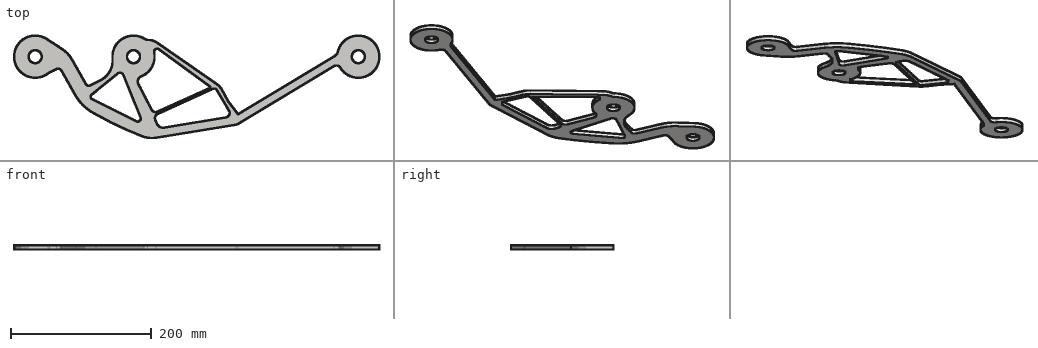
import cadquery as cq
import math

length = 520.0
thickness = 6.0
boss_diameter = 60.5
hole_diameter = 18.0
boss_radius = boss_diameter / 2
middle_boss = (140.0, 0.0)
right_boss = (length - boss_diameter, 0.0)
boss_centres = [(0.0, 0.0), middle_boss, right_boss]

shoulder = (47.5, 5.0)
valley = (74.5, -42.5)
crest = (168.0, 24.0)
elbow = (263.0, -42.0)
elbow_foot = (275.0, -64.0)
arm_valley = (288.5, -81.5)
arm_heel = (287.0, -96.5)
bottom_corner = (166.0, -116.5)
knee = (35.0, -15.5)

middle_boss_lower_left = (128.5, -15.5)
middle_boss_top = (147.0, crest[1])
right_boss_upper = (447.5, 14.0)
right_boss_lower = (447.5, 0.0)
left_boss_lower = (15.5, -25.0)

middle_boss_lower_blend = (119.0, -21.5)
middle_boss_top_blend = (158.5, 24.0)
right_boss_upper_blend = (431.5, 4.5)
right_boss_lower_blend = (430.5, -9.5)
left_boss_blend = (18.5, -23.5)

underside_end = (155.0, -114.5)
underside_middle = (128.5, -103.5)
underside_start = (86.5, -82.0)
belly_middle = (70.5, -72.0)
belly_end = (57.5, -56.0)


def round_corner(body, corner, radius):
    """Fillet the vertical edge nearest to the given plan position."""
    nearest = cq.selectors.NearestToPointSelector((corner[0], corner[1], thickness / 2))
    return body.edges("|Z").edges(nearest).fillet(radius)


def round_corners(body, corners):
    """Fillet several vertical edges, given as (position, radius) pairs."""
    for corner, radius in corners:
        body = round_corner(body, corner, radius)
    return body


def bosses(centres, diameter):
    return cq.Workplane("XY").pushPoints(centres).circle(diameter / 2).extrude(thickness)


def window(points):
    return cq.Workplane("XY").polyline(points).close().extrude(thickness)


def frame():
    tangent_angle = math.atan2(shoulder[1], shoulder[0])
    tangent_angle += math.acos(boss_radius / math.hypot(*shoulder))
    tangent_point = (boss_radius * math.cos(tangent_angle), boss_radius * math.sin(tangent_angle))
    return (
        cq.Workplane("XY")
        .moveTo(*tangent_point)
        .lineTo(*shoulder)
        .lineTo(*valley)
        .lineTo(*middle_boss_lower_left)
        .lineTo(*middle_boss_top)
        .lineTo(*crest)
        .lineTo(*elbow)
        .lineTo(*elbow_foot)
        .lineTo(*arm_valley)
        .lineTo(*right_boss_upper)
        .lineTo(*right_boss_lower)
        .lineTo(*arm_heel)
        .lineTo(*bottom_corner)
        .lineTo(*underside_end)
        .threePointArc(underside_middle, underside_start)
        .threePointArc(belly_middle, belly_end)
        .lineTo(*knee)
        .lineTo(*left_boss_lower)
        .lineTo(0, 0)
        .close()
        .extrude(thickness)
    )


def plate():
    body = frame().union(bosses(boss_centres, boss_diameter))
    return round_corners(body, [
        (shoulder, 44.0),
        (valley, 4.5),
        (crest, 21.0),
        (elbow, 26.0),
        (elbow_foot, 21.0),
        (bottom_corner, 36.5),
        (arm_heel, 8.0),
        (knee, 5.0),
        (middle_boss_lower_blend, 31.0),
        (middle_boss_top_blend, 8.0),
        (right_boss_upper_blend, 8.5),
        (right_boss_lower_blend, 6.0),
        (left_boss_blend, 10.5),
    ])


def triangle_window():
    left, top, bottom = (76.0, -57.5), (122.5, -20.0), (154.0, -96.5)
    return round_corners(window([left, top, bottom]), [(left, 3.5), (top, 5.0), (bottom, 4.0)])


def upper_window():
    strut_right, strut_left = (250.0, -43.5), (168.5, -80.5)
    boss_upper, boss_lower = (158.0, 23.5), (136.0, -18.0)
    boss_upper_meeting, boss_lower_meeting = (166.5, 16.5), (142.5, -30.0)
    opening = window([boss_upper, strut_right, strut_left, boss_lower])
    opening = opening.cut(bosses([middle_boss], boss_diameter))
    return round_corners(opening, [
        (strut_right, 1.0),
        (strut_left, 6.0),
        (boss_upper_meeting, 4.0),
        (boss_lower_meeting, 8.0),
    ])


def lower_window():
    strut_left, strut_right = (168.5, -84.0), (256.5, -44.0)
    bottom_right, bottom_left = (280.0, -85.0), (176.5, -102.0)
    opening = window([strut_left, strut_right, bottom_right, bottom_left])
    return round_corners(opening, [
        (strut_left, 6.0),
        (strut_right, 4.0),
        (bottom_right, 6.0),
        (bottom_left, 9.5),
    ])


result = plate()
for opening in (triangle_window(), upper_window(), lower_window()):
    result = result.cut(opening)
result = result.cut(bosses(boss_centres, hole_diameter))